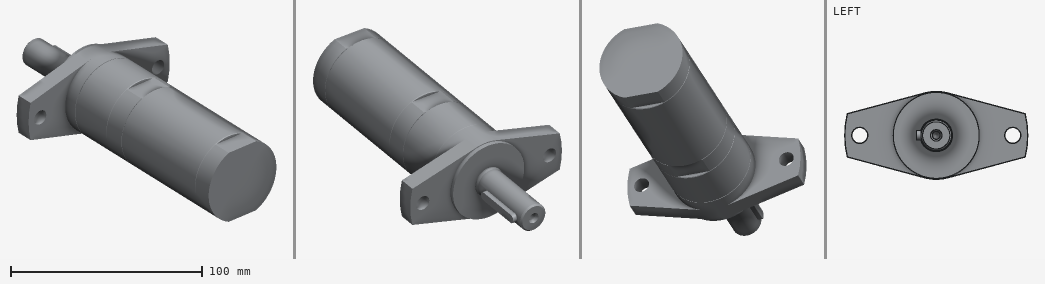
import cadquery as cq
import math

cone_start = 40.0
collar_start = 41.0
pilot_start = 41.8
flange_start = 44.2
flange_end = 54.0
head_end = 61.9
gear_end = 88.0
motor_start = 100.0
motor_end = 160.5
overall_length = 171.5

shaft_diameter = 16.0
collar_diameter = 17.0
tip_chamfer = 0.9
center_hole_diameter = 4.1
center_hole_depth = 10.3
drill_point_angle = math.radians(118)
countersink_diameter = 6.0
countersink_depth = 1.7

key_start = 3.8
key_length = 30.0
key_width = 5.0
key_top = 10.3
key_floor = 5.1

pilot_diameter = 45.0
body_diameter = 46.0
edge_chamfer = 0.3
across_flats = 42.0

flange_span = 95.7
flange_side_angle = math.radians(15)
bolt_circle_diameter = 80.0
bolt_hole_diameter = 8.2


def cylinder(start, end, diameter):
    """Cylinder on the X axis between two stations."""
    return cq.Workplane("YZ", origin=(start, 0, 0)).circle(diameter / 2).extrude(end - start)


def flatted_section(start, end):
    """Body section with two wrench flats facing +Z and -Z."""
    flats = (
        cq.Workplane("YZ", origin=(start, 0, 0))
        .rect(body_diameter, across_flats)
        .extrude(end - start)
    )
    return cylinder(start, end, body_diameter).intersect(flats)


def make_flange():
    """Plate whose straight sides are tangent to the body and whose ends are arcs about the axis."""
    radius = body_diameter / 2
    tangent_y = radius * math.sin(flange_side_angle)
    tangent_z = radius * math.cos(flange_side_angle)
    sides_meet_y = radius / math.sin(flange_side_angle)
    outline = [
        (sides_meet_y, 0),
        (tangent_y, tangent_z),
        (-tangent_y, tangent_z),
        (-sides_meet_y, 0),
        (-tangent_y, -tangent_z),
        (tangent_y, -tangent_z),
    ]
    thickness = flange_end - flange_start
    plane = cq.Workplane("YZ", origin=(flange_start, 0, 0))
    plate = plane.polyline(outline).close().extrude(thickness)
    holes = (
        plane.pushPoints([(-bolt_circle_diameter / 2, 0), (bolt_circle_diameter / 2, 0)])
        .circle(bolt_hole_diameter / 2)
        .extrude(thickness)
    )
    return plate.intersect(cylinder(flange_start, flange_end, flange_span)).cut(holes)


def make_center_hole():
    """Countersunk drill hole on the axis, ending in a drill point."""
    radius = center_hole_diameter / 2
    point_depth = center_hole_depth + radius / math.tan(drill_point_angle / 2)
    profile = [
        (0, 0),
        (0, countersink_diameter / 2),
        (countersink_depth, radius),
        (center_hole_depth, radius),
        (point_depth, 0),
    ]
    return cq.Workplane("XY").polyline(profile).close().revolve(360, (0, 0, 0), (1, 0, 0))


def make_shaft():
    """Chamfered shaft with flared collar, round-ended key and center hole."""
    shaft = cylinder(0, pilot_start, shaft_diameter).faces("<X").chamfer(tip_chamfer)
    cone = (
        cq.Workplane("YZ", origin=(cone_start, 0, 0))
        .circle(shaft_diameter / 2)
        .workplane(offset=collar_start - cone_start)
        .circle(collar_diameter / 2)
        .loft()
    )
    collar = cylinder(collar_start, pilot_start, collar_diameter)
    key = (
        cq.Workplane("XZ", origin=(key_start + key_length / 2, key_top, 0))
        .slot2D(key_length, key_width)
        .extrude(key_top - key_floor)
    )
    return shaft.union(cone).union(collar).union(key).cut(make_center_hole())


def make_housing():
    """Round housing with flats between the gear and motor sections and at the rear end."""
    head = cylinder(flange_start, head_end, body_diameter)
    gear = cylinder(head_end, gear_end, body_diameter).faces("<X or >X").chamfer(edge_chamfer)
    motor = cylinder(motor_start, motor_end, body_diameter).faces("<X or >X").chamfer(edge_chamfer)
    return (
        cylinder(pilot_start, flange_start, pilot_diameter)
        .union(head)
        .union(gear)
        .union(flatted_section(gear_end, motor_start))
        .union(motor)
        .union(flatted_section(motor_end, overall_length))
    )


result = make_housing().union(make_flange()).union(make_shaft())